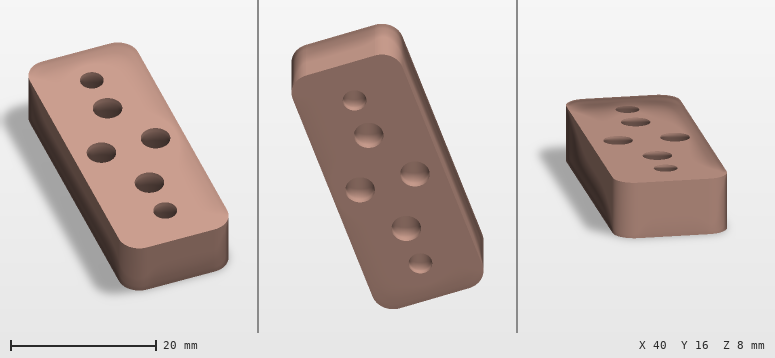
import cadquery as cq

length = 40.0
width = 16.0
height = 8.0
corner_radius = 3.0

large_diameter = 4.1
small_diameter = 3.3
large_offset_x = 8.0
large_offset_y = 4.0
small_offset_x = 14.0

large_centers = [
    (-large_offset_x, 0),
    (large_offset_x, 0),
    (0, -large_offset_y),
    (0, large_offset_y),
]
small_centers = [(-small_offset_x, 0), (small_offset_x, 0)]


def drill_through(body, centers, diameter):
    """Drill vertical through holes at the given centers."""
    return body.faces(">Z").workplane(origin=(0, 0, 0)).pushPoints(centers).hole(diameter)


block = cq.Workplane("XY").box(length, width, height).edges("|Z").fillet(corner_radius)
block = drill_through(block, large_centers, large_diameter)
result = drill_through(block, small_centers, small_diameter)